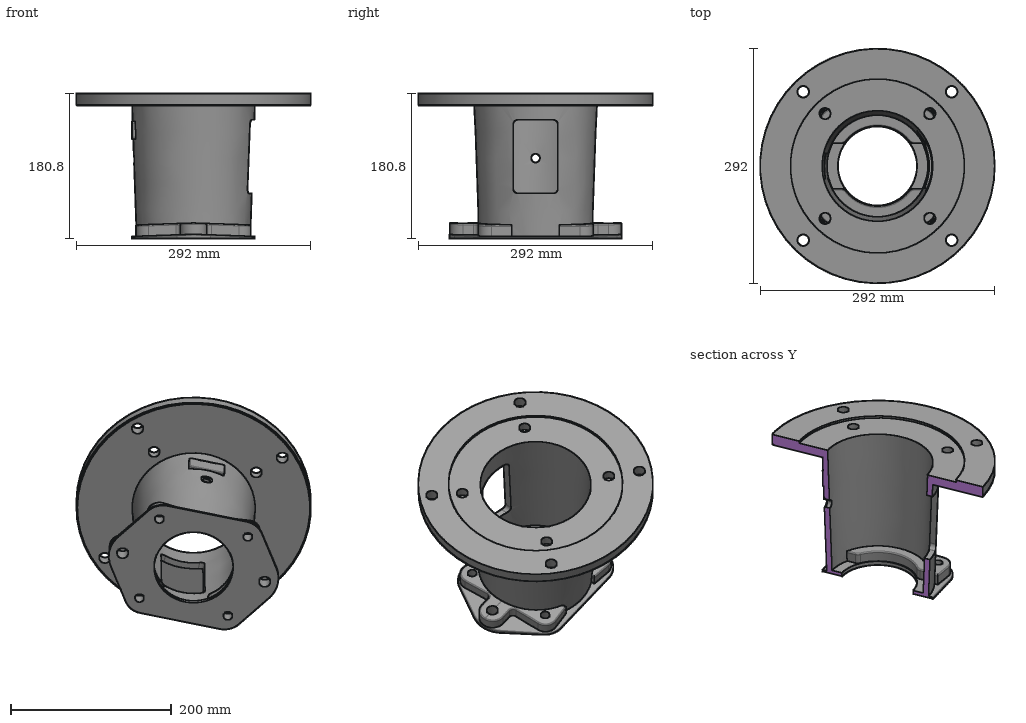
import cadquery as cq
import math

height = 180.8
flange_diameter = 292.0
flange_thickness = 15.8
flange_edge_chamfer = 1.5
recess_diameter = 216.5
recess_depth = 3.0
outer_bolt_offset = 92.3
outer_bolt_diameter = 14.0
inner_bolt_offset = 65.0
inner_bolt_diameter = 13.7

tube_top_radius = 76.5
tube_base_radius = 70.7
bore_top_radius = 69.0
bore_base_radius = 62.5

casting_slope = math.tan(math.radians(2))
plate_height = 5.5
plate_half_width = 76.5
plate_half_length = 107.2
plate_corner_radius = 26.0
plate_ear_radius = 38.0
plate_edge_radius = 1.0
pad_height = 19.5
pad_edge_radius = 1.5
corner_offset = 56.5
corner_pad_radius = 15.2
corner_hole_diameter = 11.0
side_wall_slope = 0.1
pad_gap_half_width = 29.5
ear_offset = 90.5
ear_pad_radius = 16.5
ear_hole_diameter = 14.0
ear_neck_radius = 5.8

pilot_radius = 49.0
pocket_radius = 50.0
pocket_half_width = 28.3
pocket_corner_radius = 7.3

window_bottom = 56.5
window_top = 147.8
window_half_width = 27.7
window_corner_radius = 5.8
port_height = 100.2
port_diameter = 10.5
port_mouth_diameter = 15.2
name_pad_height = 135.0
name_pad_width = 45.0
name_pad_depth = 22.5
name_pad_face = 76.5
name_pad_corner_radius = 3.0
name_pad_edge_radius = 1.2

SIGNS = (-1, 1)
flange_bottom = height - flange_thickness


def square_points(offset):
    return [(sx * offset, sy * offset) for sx in SIGNS for sy in SIGNS]


def polar(center_x, center_y, radius, angle):
    return (center_x + radius * math.cos(angle), center_y + radius * math.sin(angle))


def cone(bottom_z, bottom_radius, top_z, top_radius):
    profile = [(0, bottom_z), (bottom_radius, bottom_z), (top_radius, top_z), (0, top_z)]
    return cq.Workplane("XZ").polyline(profile).close().revolve(360, (0, 0, 0), (0, 1, 0))


def drill(points, diameter, bottom, top):
    start = cq.Workplane("XY").workplane(offset=bottom)
    return start.pushPoints(points).circle(diameter / 2).extrude(top - bottom)


def flange():
    disc = cq.Workplane("XY").workplane(offset=flange_bottom).circle(flange_diameter / 2)
    return disc.extrude(flange_thickness).faces("<Z").chamfer(flange_edge_chamfer)


def flange_cuts():
    recess = drill([(0, 0)], recess_diameter, height - recess_depth, height)
    outer = drill(square_points(outer_bolt_offset), outer_bolt_diameter, flange_bottom, height)
    inner = drill(square_points(inner_bolt_offset), inner_bolt_diameter, flange_bottom, height)
    return recess.union(outer).union(inner)


def sloped_roof(ridge_height):
    """Solid under two planes that fall away from the ridge at X = 0."""
    reach = flange_diameter / 2
    eave = ridge_height - casting_slope * reach
    outline = [(-reach, 0), (-reach, eave), (0, ridge_height), (reach, eave), (reach, 0)]
    return cq.Workplane("XZ").polyline(outline).close().extrude(reach, both=True)


def plate_quarter():
    """Quarter plate: a corner arc and half of the large ear arc, joined by a tangent line."""
    corner_center = plate_half_width - plate_corner_radius
    ear_center = plate_half_length - plate_ear_radius
    rise = ear_center - corner_center
    radius_step = plate_ear_radius - plate_corner_radius
    normal = math.acos(radius_step / math.hypot(corner_center, rise)) - math.atan2(rise, corner_center)
    ear_middle = (normal + math.pi / 2) / 2
    plate = (
        cq.Workplane("XY")
        .lineTo(plate_half_width, 0)
        .lineTo(plate_half_width, corner_center)
        .threePointArc(
            polar(corner_center, corner_center, plate_corner_radius, normal / 2),
            polar(corner_center, corner_center, plate_corner_radius, normal),
        )
        .lineTo(*polar(0, ear_center, plate_ear_radius, normal))
        .threePointArc(polar(0, ear_center, plate_ear_radius, ear_middle), (0, plate_half_length))
        .close()
        .extrude(plate_height)
        .intersect(sloped_roof(plate_height))
    )
    rim = cq.selectors.NearestToPointSelector((plate_half_width, corner_center / 2, plate_height / 2))
    return plate.edges("|Y").edges(rim).fillet(plate_edge_radius)


def pad_quarter():
    """Quarter of the raised pads: a corner lobe and half of an ear, joined by a neck."""
    wall_angle = -math.atan(side_wall_slope)
    side_start = polar(corner_offset, corner_offset, corner_pad_radius, wall_angle)
    lobe_middle = (wall_angle + math.pi / 2) / 2
    gap_x = side_start[0] - side_wall_slope * (side_start[1] - pad_gap_half_width)
    front_wall_y = corner_offset + corner_pad_radius
    pad = (
        cq.Workplane("XY")
        .moveTo(0, pad_gap_half_width)
        .lineTo(gap_x, pad_gap_half_width)
        .lineTo(*side_start)
        .threePointArc(
            polar(corner_offset, corner_offset, corner_pad_radius, lobe_middle),
            (corner_offset, front_wall_y),
        )
        .lineTo(ear_pad_radius, front_wall_y)
        .lineTo(ear_pad_radius, ear_offset)
        .threePointArc(
            polar(0, ear_offset, ear_pad_radius, math.pi / 4),
            (0, ear_offset + ear_pad_radius),
        )
        .close()
        .extrude(pad_height)
    )
    neck = cq.selectors.NearestToPointSelector((ear_pad_radius, front_wall_y, pad_height / 2))
    pad = pad.edges("|Z").edges(neck).fillet(ear_neck_radius).intersect(sloped_roof(pad_height))
    top_edges = cq.selectors.BoxSelector(
        (pad_edge_radius, 0, pad_height * 0.7), (flange_diameter, flange_diameter, height)
    )
    return pad.edges(top_edges).fillet(pad_edge_radius)


def base():
    quarter = plate_quarter().union(pad_quarter())
    half = quarter.union(quarter.mirror("YZ"))
    return half.union(half.mirror("XZ"))


def base_floor():
    """Floor inside the tube, with a round opening crossed by a slot, both down to the plate."""
    mid_wall_radius = (tube_base_radius + bore_base_radius) / 2
    opening = cq.Workplane("XY").circle(pocket_radius).extrude(pad_height)
    opening = opening.union(cq.Workplane("XY").rect(flange_diameter, 2 * pocket_half_width).extrude(pad_height))
    corner_x = math.sqrt(pocket_radius**2 - pocket_half_width**2)
    for x in (-corner_x, corner_x):
        for y in (-pocket_half_width, pocket_half_width):
            corner = cq.selectors.NearestToPointSelector((x, y, pad_height / 2))
            opening = opening.edges("|Z").edges(corner).fillet(pocket_corner_radius)
    floor = cq.Workplane("XY").circle(mid_wall_radius).extrude(pad_height).cut(opening)
    return floor.faces(">Z").edges().fillet(pad_edge_radius)


def base_holes():
    ear_points = [(0, side * ear_offset) for side in SIGNS]
    pilot = drill([(0, 0)], 2 * pilot_radius, 0, pad_height)
    corners = drill(square_points(corner_offset), corner_hole_diameter, 0, pad_height)
    ears = drill(ear_points, ear_hole_diameter, 0, pad_height)
    return pilot.union(corners).union(ears)


def name_pad():
    """Flat rounded pad on the -X side of the tube."""
    pad = cq.Workplane("YZ").center(0, name_pad_height).rect(name_pad_width, name_pad_depth)
    pad = pad.extrude(-name_pad_face).edges("|X").fillet(name_pad_corner_radius)
    return pad.faces("<X").edges().fillet(name_pad_edge_radius)


def window():
    """Rounded rectangular opening through the +X wall."""
    center_z = (window_bottom + window_top) / 2
    opening = cq.Workplane("YZ").center(0, center_z)
    opening = opening.rect(2 * window_half_width, window_top - window_bottom)
    return opening.extrude(flange_diameter / 2).edges("|X").fillet(window_corner_radius)


def port():
    """Chamfered hole through the -X wall."""
    share = port_height / flange_bottom
    wall_x = tube_base_radius + share * (tube_top_radius - tube_base_radius)
    mouth = port_mouth_diameter / 2
    sink = (port_mouth_diameter - port_diameter) / 2
    hole = cq.Workplane("YZ").center(0, port_height).circle(port_diameter / 2).extrude(-tube_top_radius)
    countersink = cq.Solid.makeCone(
        mouth, port_diameter / 2, sink, cq.Vector(-wall_x, 0, port_height), cq.Vector(1, 0, 0)
    )
    return hole.union(cq.Workplane(countersink))


tube = cone(0, tube_base_radius, flange_bottom, tube_top_radius)
cavity = cone(0, bore_base_radius, height, bore_top_radius)
cavity = cavity.intersect(drill([(0, 0)], flange_diameter, plate_height, height))
body = base().union(tube).union(name_pad()).union(flange())
body = body.cut(cavity).union(base_floor())
result = body.cut(base_holes()).cut(flange_cuts()).cut(window()).cut(port())